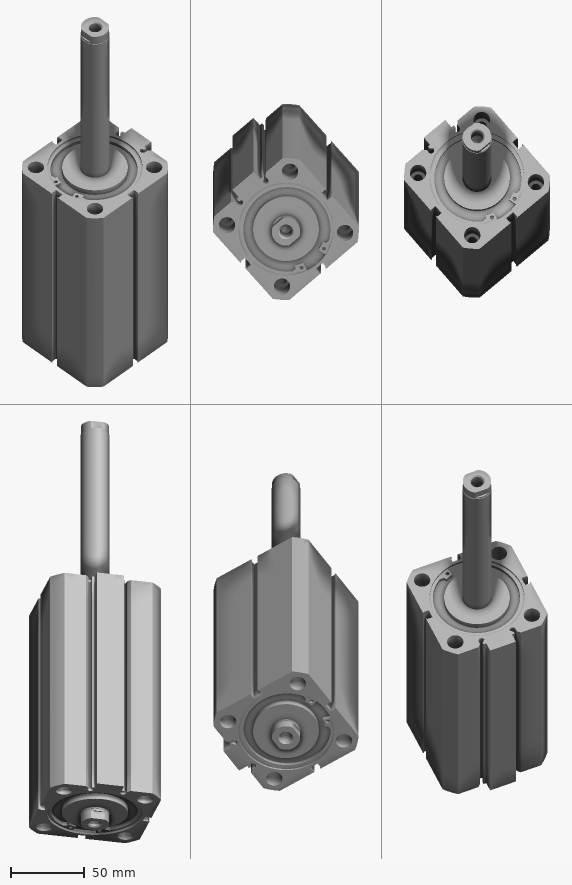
import cadquery as cq
import math


housing_width = 77.5
housing_length = 159.8
half_width = housing_width / 2
corner_radius = 49.5
bore_radius = 32.2

mount_pitch = 56.5
mount_hole_diameter = 6.5
counterbore_diameter = 11.0
counterbore_depth = 21.0

slot_mouth_width = 4.8
slot_inner_width = 6.3
slot_lip = 0.5
slot_depth = 4.5

rail_width = 19.0
rail_height = 5.7
rail_foot_half_width = 11.5
rail_foot_drop = 1.0
rail_foot_height = 1.8
groove_x = 11.5
groove_radius = 2.0
groove_drop = 4.2
groove_chamfer = 2.0

ring_recess = 1.5
ring_thickness = 2.7
ring_outer_diameter = 67.7
ring_outer_radius = ring_outer_diameter / 2
ring_inner_radius = 29.5
ring_eccentricity = 1.0
ear_inner_radius = 26.5
ear_start_angle = 15.0
ear_end_angle = 28.0
ear_hole_angle = 20.0
ear_hole_pitch_radius = 29.2
ear_hole_diameter = 2.7
ear_root_x = (12.5, 17.5)
ear_root_y = (-27.7, -25.3)

cover_length = 27.0
boss_radius = 22.3
cover_recess = ring_recess + ring_thickness

rod_radius = 10.0
rod_below = 8.0
rod_above = 133.0
neck_radius = 9.5
neck_length = 7.0
flat_length = 5.5
across_flats = 17.0
thread_radius = 4.2
thread_mouth_radius = 5.0
thread_depth = 15.0
drill_point_angle = 118.0

ends = ("upper", "lower")


def polar_from_minus_y(radius, angle):
    """Point at an angle from the -Y axis, positive towards +X."""
    a = math.radians(angle)
    return (radius * math.sin(a), -radius * math.cos(a))


def extrude_housing(sketch):
    """Prism over the full length of the housing."""
    return sketch.extrude(housing_length)


def place_at_end(upper_shape, end):
    """Put a shape built for the upper end at either end; the lower one is its mirror image."""
    if end == "upper":
        return upper_shape
    return upper_shape.mirror("XY", (0, 0, housing_length / 2))


def make_outer_block():
    """Square prism whose corners are trimmed by a cylinder about the rod axis."""
    square = extrude_housing(cq.Workplane().rect(housing_width, housing_width))
    return square.intersect(extrude_housing(cq.Workplane().circle(corner_radius)))


def make_rail():
    base = half_width - groove_drop
    top = half_width + rail_height
    return extrude_housing(
        cq.Workplane().center(0, (base + top) / 2).rect(rail_width, top - base)
    )


def make_rail_groove(side):
    """Groove beside the rail; side is +1 for +X and -1 for -X."""
    centre_y = half_width - groove_drop
    foot_top = half_width - rail_foot_drop
    foot_bottom = foot_top - rail_foot_height
    outer_x = groove_x + groove_radius
    rail_x = rail_width / 2
    points = [
        (outer_x, half_width - groove_chamfer),
        (outer_x + groove_chamfer, half_width),
        (rail_x, half_width),
        (rail_x, foot_top),
        (rail_foot_half_width, foot_top),
        (rail_foot_half_width, foot_bottom),
        (groove_x - groove_radius, centre_y),
    ]
    outline = (
        cq.Workplane()
        .moveTo(side * outer_x, centre_y)
        .polyline([(side * x, y) for x, y in points], includeCurrent=True)
        .threePointArc(
            (side * groove_x, centre_y - groove_radius), (side * outer_x, centre_y)
        )
        .close()
    )
    return extrude_housing(outline)


def make_sensor_slot(angle):
    """T-slot in the +X side, turned about the rod axis."""
    floor_x = half_width - slot_depth
    lip_x = half_width - slot_lip
    half_inner = slot_inner_width / 2
    half_mouth = slot_mouth_width / 2
    upper_half = [
        (floor_x, half_inner),
        (lip_x, half_inner),
        (lip_x, half_mouth),
        (half_width, half_mouth),
    ]
    lower_half = [(x, -y) for x, y in reversed(upper_half)]
    slot = extrude_housing(cq.Workplane().polyline(upper_half + lower_half).close())
    return slot.rotate((0, 0, 0), (0, 0, 1), angle)


def cut_mounting_holes(body):
    for face in (">Z", "<Z"):
        body = (
            body.faces(face)
            .workplane(origin=(0, 0, 0))
            .rect(mount_pitch, mount_pitch, forConstruction=True)
            .vertices()
            .cboreHole(mount_hole_diameter, counterbore_diameter, counterbore_depth)
        )
    return body


def make_housing():
    body = make_outer_block().union(make_rail())
    for side in (1, -1):
        body = body.cut(make_rail_groove(side))
    for angle in (0, 180, 270):
        body = body.cut(make_sensor_slot(angle))
    body = cut_mounting_holes(body)
    body = body.cut(extrude_housing(cq.Workplane().circle(bore_radius)))
    ring_groove = (
        cq.Workplane()
        .workplane(offset=housing_length - cover_recess)
        .circle(ring_outer_radius)
        .extrude(ring_thickness)
    )
    for end in ends:
        body = body.cut(place_at_end(ring_groove, end))
    return body


def make_sector(inner, outer, start, end):
    """Flat ring sector between two angles from the -Y axis, as thick as the retaining ring."""
    middle = (start + end) / 2
    return (
        cq.Workplane()
        .moveTo(*polar_from_minus_y(inner, start))
        .lineTo(*polar_from_minus_y(outer, start))
        .threePointArc(polar_from_minus_y(outer, middle), polar_from_minus_y(outer, end))
        .lineTo(*polar_from_minus_y(inner, end))
        .threePointArc(polar_from_minus_y(inner, middle), polar_from_minus_y(inner, start))
        .close()
        .extrude(ring_thickness)
    )


def make_ear_root(side):
    """Block that joins an ear to the ring; side is +1 for +X and -1 for -X."""
    inner_x, outer_x = ear_root_x
    bottom_y, top_y = ear_root_y
    return (
        cq.Workplane()
        .center(side * (inner_x + outer_x) / 2, (bottom_y + top_y) / 2)
        .rect(outer_x - inner_x, top_y - bottom_y)
        .extrude(ring_thickness)
    )


def make_ring():
    """Retaining ring of the upper end: widest at +Y, open at -Y, with an ear at each end."""
    ring = cq.Workplane().circle(ring_outer_radius).extrude(ring_thickness)
    opening = (
        cq.Workplane()
        .center(0, -ring_eccentricity)
        .circle(ring_inner_radius)
        .extrude(ring_thickness)
    )
    gap = make_sector(
        ear_inner_radius, 2 * ring_outer_radius, -ear_start_angle, ear_start_angle
    )
    ring = ring.cut(opening).cut(gap)
    for side in (1, -1):
        ear = make_sector(
            ear_inner_radius, ring_outer_radius, side * ear_start_angle, side * ear_end_angle
        )
        hole = (
            cq.Workplane()
            .center(*polar_from_minus_y(ear_hole_pitch_radius, side * ear_hole_angle))
            .circle(ear_hole_diameter / 2)
            .extrude(ring_thickness)
        )
        ring = ring.union(ear).union(make_ear_root(side)).cut(hole)
    return ring.translate((0, 0, housing_length - cover_recess))


def make_cover():
    """Cover of the upper end: a disc under the ring, a boss flush with the housing, a rod hole."""
    return (
        cq.Workplane()
        .workplane(offset=housing_length - cover_length)
        .circle(bore_radius)
        .extrude(cover_length - cover_recess)
        .faces(">Z")
        .workplane()
        .circle(boss_radius)
        .extrude(cover_recess)
        .faces(">Z")
        .workplane()
        .hole(2 * rod_radius)
    )


def make_rod():
    """Rod with a necked, threaded end at each side and two wrench flats on each neck."""
    bottom = -rod_below
    top = housing_length + rod_above
    mouth_chamfer = thread_mouth_radius - thread_radius
    point_height = thread_radius / math.tan(math.radians(drill_point_angle / 2))
    lower_half = [
        (0, bottom + thread_depth + point_height),
        (thread_radius, bottom + thread_depth),
        (thread_radius, bottom + mouth_chamfer),
        (thread_mouth_radius, bottom),
        (neck_radius, bottom),
        (neck_radius, bottom + neck_length),
        (rod_radius, bottom + neck_length),
    ]
    upper_half = [(r, bottom + top - z) for r, z in reversed(lower_half)]
    profile = [(-r, z) for r, z in lower_half + upper_half]
    rod = cq.Workplane("YZ").polyline(profile).close().revolve(360, (0, 0), (0, 1))
    for end_z in (bottom + flat_length / 2, top - flat_length / 2):
        for side in (1, -1):
            cutter = cq.Workplane().box(2 * rod_radius, rod_radius, flat_length)
            rod = rod.cut(cutter.translate((0, side * (across_flats + rod_radius) / 2, end_z)))
    return rod


housing = make_housing()
rod = make_rod()
covers = [place_at_end(make_cover(), end) for end in ends]
rings = [place_at_end(make_ring(), end) for end in ends]

result = cq.Compound.makeCompound(
    [body.val() for body in (housing, rod, *covers, *rings)]
)